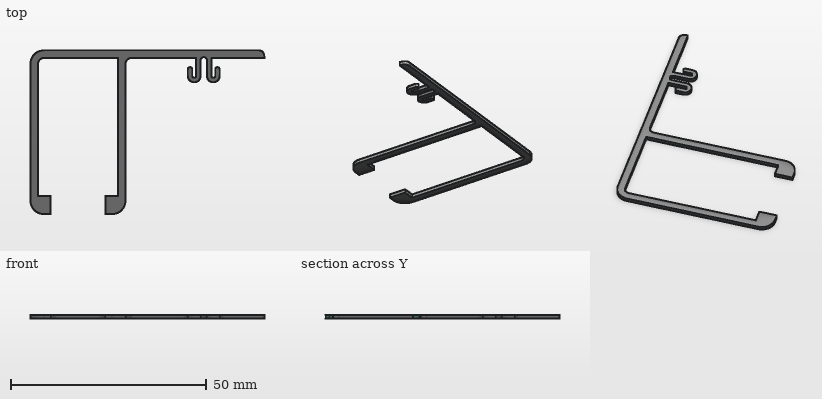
import cadquery as cq

length = 60.0
depth = 42.0
thickness = 1.0

wall = 2.0
channel_width = 24.4
outer_radius = 3.5
inner_radius = 1.5
lip_reach = 5.2
lip_height = 4.7

end_slope_run = 0.3
end_radius = 1.4

hook_center_x = 44.4
hook_gap = 1.6
hook_wall = 1.2
hook_slot = 0.9
hook_depth = 8.25
hook_tip_depth = 4.3
arch_top_depth = 1.8

hook_outer_radius = hook_wall + hook_slot / 2
hook_bend_y = -(hook_depth - hook_outer_radius)


def block(x_min, x_max, y_min, y_max):
    """Plate spanning the given X and Y limits."""
    return (
        cq.Workplane("XY")
        .box(x_max - x_min, y_max - y_min, thickness, centered=False)
        .translate((x_min, y_min, 0))
    )


def make_channel():
    """Open channel with rounded outer corners and lips turned inward."""
    outer = block(0, channel_width, -depth, 0)
    outer = outer.edges("|Z and (<X or <Y)").fillet(outer_radius)
    inner = block(wall, channel_width - wall, lip_height - depth, -wall)
    inner = inner.edges("|Z and <X and >Y").fillet(inner_radius)
    mouth = block(lip_reach, channel_width - lip_reach, -depth, -wall)
    return outer.cut(inner).cut(mouth)


def make_flange():
    """Web beyond the channel, with its sloped and rounded free end."""
    start_x = channel_width - wall
    flange = (
        cq.Workplane("XY")
        .moveTo(start_x, 0)
        .lineTo(length - end_slope_run, 0)
        .lineTo(length, -wall)
        .lineTo(start_x, -wall)
        .close()
        .extrude(thickness)
    )
    rounded_corner = cq.selectors.NearestToPointSelector((length - end_slope_run, 0, thickness / 2))
    return flange.edges(rounded_corner).fillet(end_radius)


def make_corner_fillet():
    """Concave fillet between the right leg and the underside of the web."""
    corner = block(channel_width, channel_width + inner_radius, -wall - inner_radius, -wall)
    relief = (
        cq.Workplane("XY")
        .center(channel_width + inner_radius, -wall - inner_radius)
        .circle(inner_radius)
        .extrude(thickness)
    )
    return corner.cut(relief)


def make_hook(side):
    """J hook hanging from the web; side is -1 for the left hook, +1 for the right."""
    stem_x = hook_center_x + side * hook_gap / 2
    slot_near_x = stem_x + side * hook_wall
    slot_far_x = slot_near_x + side * hook_slot
    tip_x = slot_far_x + side * hook_wall
    bend_x = (stem_x + tip_x) / 2
    tip_bend_y = -hook_tip_depth - hook_wall / 2
    return (
        cq.Workplane("XY")
        .moveTo(stem_x, -wall)
        .lineTo(stem_x, hook_bend_y)
        .threePointArc((bend_x, -hook_depth), (tip_x, hook_bend_y))
        .lineTo(tip_x, tip_bend_y)
        .threePointArc(((slot_far_x + tip_x) / 2, -hook_tip_depth), (slot_far_x, tip_bend_y))
        .lineTo(slot_far_x, hook_bend_y)
        .threePointArc((bend_x, hook_wall - hook_depth), (slot_near_x, hook_bend_y))
        .lineTo(slot_near_x, -wall)
        .close()
        .extrude(thickness)
    )


def make_arch():
    """Round-topped space between the hook stems."""
    radius = hook_gap / 2
    spring_y = -arch_top_depth - radius
    left_x = hook_center_x - radius
    right_x = hook_center_x + radius
    return (
        cq.Workplane("XY")
        .moveTo(left_x, hook_bend_y)
        .lineTo(left_x, spring_y)
        .threePointArc((hook_center_x, -arch_top_depth), (right_x, spring_y))
        .lineTo(right_x, hook_bend_y)
        .close()
        .extrude(thickness)
    )


def make_arch_crown():
    """Material between the stems that the arch is cut from."""
    half_gap = hook_gap / 2
    return block(hook_center_x - half_gap, hook_center_x + half_gap, -arch_top_depth - half_gap, -wall)


result = make_channel().union(make_flange()).union(make_corner_fillet())
for hook_side in (-1, 1):
    result = result.union(make_hook(hook_side))
result = result.union(make_arch_crown()).cut(make_arch())